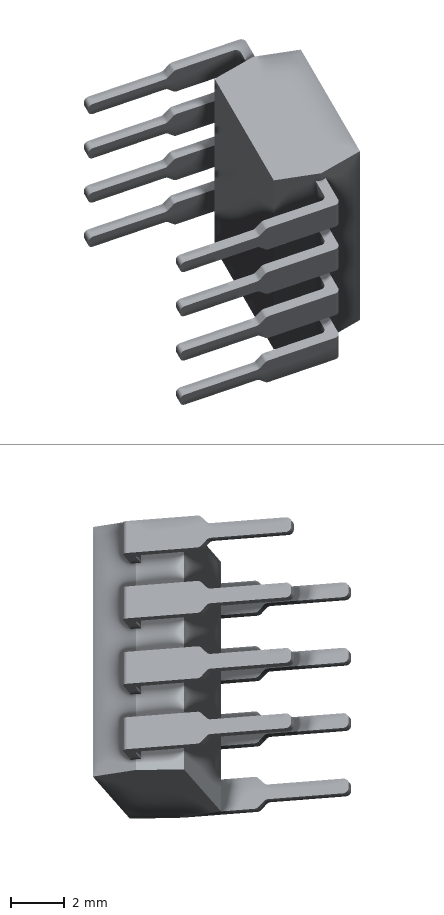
import cadquery as cq


body_length = 9.7
body_depth = 3.5
ridge_width = 6.2
face_width = 5.4

pins_per_row = 4
pin_pitch = 2.54
pin_span = 8.8
pin_thickness = 0.4
shoulder_width = 1.24
shoulder_end_depth = 4.54
tip_width = 0.57
round_radius = 0.2
overall_depth = 8.05

back_y = body_depth / 2
front_y = -body_depth / 2
tip_y = back_y - overall_depth
taper_start_y = back_y - shoulder_end_depth
taper_run = (shoulder_width - tip_width) / 2
taper_end_y = taper_start_y - taper_run


def make_body():
    """Six-sided prism, widest at the ridge where the pins leave it."""
    outline = [
        (-face_width / 2, front_y),
        (face_width / 2, front_y),
        (ridge_width / 2, 0),
        (face_width / 2, back_y),
        (-face_width / 2, back_y),
        (-ridge_width / 2, 0),
    ]
    return cq.Workplane("XY").polyline(outline).close().extrude(body_length / 2, both=True)


def make_bent_strip():
    """L-shaped strip of full shoulder width, rooted inside the body on the +X side."""
    outer_x = pin_span / 2
    inner_x = outer_x - pin_thickness
    root_x = face_width / 2
    upper_y = pin_thickness / 2
    lower_y = -pin_thickness / 2
    outline = [
        (root_x, upper_y),
        (outer_x, upper_y),
        (outer_x, tip_y),
        (inner_x, tip_y),
        (inner_x, lower_y),
        (root_x, lower_y),
    ]
    strip = cq.Workplane("XY").polyline(outline).close().extrude(shoulder_width / 2, both=True)
    for bend_corner in ((outer_x, upper_y, 0), (inner_x, lower_y, 0)):
        bend_edge = cq.selectors.NearestToPointSelector(bend_corner)
        strip = strip.edges(bend_edge).fillet(round_radius)
    return strip


def make_side_profile():
    """Side shape of a pin: wide shoulder, 45 degree taper and narrow round-cornered tip."""
    half_shoulder = shoulder_width / 2
    half_tip = tip_width / 2
    outline = [
        (back_y, half_shoulder),
        (taper_start_y, half_shoulder),
        (taper_end_y, half_tip),
        (tip_y, half_tip),
        (tip_y, -half_tip),
        (taper_end_y, -half_tip),
        (taper_start_y, -half_shoulder),
        (back_y, -half_shoulder),
    ]
    profile = cq.Workplane("YZ").polyline(outline).close().extrude(pin_span / 2)
    return profile.edges("|X").edges("not >Y").fillet(round_radius)


def make_pin():
    """Bent strip cut to the side shape of a pin."""
    return make_bent_strip().intersect(make_side_profile())


result = make_body()
right_pin = make_pin()
left_pin = right_pin.mirror("YZ")
for index in range(pins_per_row):
    pin_z = (index - (pins_per_row - 1) / 2) * pin_pitch
    for pin in (left_pin, right_pin):
        result = result.union(pin.translate((0, 0, pin_z)))